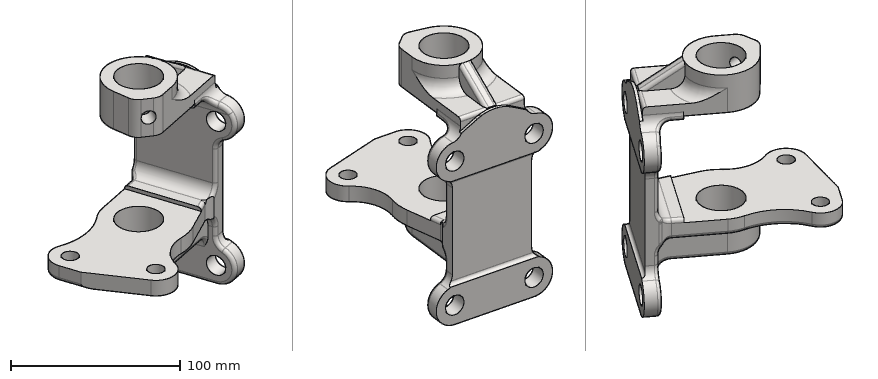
import cadquery as cq
import math

plate_depth = 10.6
lug_x = 28.5
lug_r = 13.3
lug_low_z = lug_r
lug_high_z = 112.4
lug_hole_d = 13.1
lug_blend_r = 7.8
pad_depth = 2.0
recess_depth = 2.5
recess_fillet = 2.3

edge_r = 2.5
cove_r = 8.3
ledge_depth = 26.6
root_y = -4.7
bore_y = -52.7
bore_d = 29.6
boss_r = 22.93

top_z = 156.5
arm_top_z = 139.0
boss_bottom_z = 130.5
upper_ledge_z = 127.5
arm_back_r = 2.3
boss_cove_r = 8.6
nose_angle = math.radians(-100.3)
flat_angle = math.radians(-47.0)
flat_reach = 26.5
nose_corner_r = 8.5
screw_hole_d = 9.0
screw_hole_z = 143.5
rib_width = 9.0
rib_back_y = -3.0

lower_ledge_z = 61.0
plate_top_z = 58.4
plate_bottom_z = 47.5
lower_boss_z = 32.1
left_flank_r = 24.9
right_flank_r = 33.3
right_root = (25.8, -plate_depth - cove_r)
tab_r = 13.1
left_tab = (-13.6, -110.0)
right_tab = (37.9, -97.8)
tab_hole_d = 10.8
left_waist_r = 42.3
right_waist_r = 26.6
front_corner_x = 1.3

bore_axis = (0, bore_y)
crown_r = arm_top_z - lug_high_z
front_y = left_tab[1] - tab_r
beyond = 93.9
overlap = 1.5


def polar(center, radius, angle):
    """Point on a circle, at an angle in radians."""
    return (center[0] + radius * math.cos(angle), center[1] + radius * math.sin(angle))


def heading(start, target):
    return math.atan2(target[1] - start[1], target[0] - start[0])


def tangent_angle(center, radius, point, side):
    """Angle on a circle where the tangent from an outside point touches it."""
    return heading(center, point) + side * math.acos(radius / math.dist(center, point))


def waist_arc(center_1, radius_1, center_2, radius_2, waist_r, side):
    """Hollow arc touching two circles from outside, as its start, middle and end points."""
    span = math.dist(center_1, center_2)
    reach_1 = radius_1 + waist_r
    reach_2 = radius_2 + waist_r
    turn = math.acos((reach_1**2 + span**2 - reach_2**2) / (2 * reach_1 * span))
    center = polar(center_1, reach_1, heading(center_1, center_2) + side * turn)
    start = heading(center, center_1)
    sweep = math.remainder(heading(center, center_2) - start, 2 * math.pi)
    return [polar(center, waist_r, start + part * sweep) for part in (0, 0.5, 1)]


def lug_to_wall(lug_z, wall_x, up):
    """Hollow arc from a lug to an upright wall above (up = 1) or below (up = -1) it."""
    center_x = wall_x + lug_blend_r
    rise = math.sqrt((lug_r + lug_blend_r) ** 2 - (center_x - lug_x) ** 2)
    center = (center_x, lug_z + up * rise)
    at_lug = heading(center, (lug_x, lug_z))
    at_wall = -up * math.pi
    return [polar(center, lug_blend_r, a) for a in (at_lug, (at_lug + at_wall) / 2, at_wall)]


def seed(x, y, z):
    """Selects the edge nearest a point; a fillet then follows its tangent chain."""
    return cq.selectors.NearestToPointSelector((x, y, z))


def yz_prism(start):
    return cq.Workplane("YZ").moveTo(*start)


def half_outline(y):
    """Right half of the plate edge, from the bottom centre up to the top of the high lug."""
    low = lug_to_wall(lug_low_z, lug_x, 1)
    high = lug_to_wall(lug_high_z, lug_x, -1)
    return (
        cq.Workplane("XZ", origin=(0, y, 0))
        .lineTo(lug_x, 0)
        .threePointArc((lug_x + lug_r, lug_low_z), low[0])
        .threePointArc(low[1], low[2])
        .lineTo(*high[2])
        .threePointArc(high[1], high[0])
    )


def neck_block(back_y, depth):
    """Plate outline that narrows above the high lugs to the width of the upper arm."""
    neck = lug_to_wall(lug_high_z, boss_r, 1)
    return (
        half_outline(back_y)
        .threePointArc((lug_x + lug_r, lug_high_z), neck[0])
        .threePointArc(neck[1], neck[2])
        .lineTo(boss_r, arm_top_z)
        .lineTo(0, arm_top_z)
        .mirrorY()
        .extrude(depth)
        .clean()
    )


def back_pad():
    """Thin back layer whose top is a rounded crown with slopes tangent to the high lugs."""
    slope = math.asin((crown_r - lug_r) / lug_x)
    normal = math.pi / 2 - slope
    crown = (0, lug_high_z)
    crowned = (
        half_outline(0)
        .threePointArc((lug_x + lug_r, lug_high_z), polar((lug_x, lug_high_z), lug_r, normal))
        .lineTo(*polar(crown, crown_r, normal))
        .threePointArc(polar(crown, crown_r, math.pi / 2 - slope / 2), (0, arm_top_z))
        .mirrorY()
        .extrude(pad_depth)
        .clean()
    )
    return crowned.intersect(neck_block(0, pad_depth))


def plate_with_ledge():
    """Plate that narrows to the upper arm and sweeps forward into the ledge under it."""
    block = neck_block(-pad_depth, ledge_depth - pad_depth)
    space_in_front = (
        yz_prism((-plate_depth, -overlap))
        .lineTo(-plate_depth, upper_ledge_z - cove_r)
        .radiusArc((-plate_depth - cove_r, upper_ledge_z), -cove_r)
        .lineTo(-beyond, upper_ledge_z)
        .lineTo(-beyond, -overlap)
        .close()
        .extrude(beyond, both=True)
    )
    rounded_back = block.edges(seed(0, -pad_depth, arm_top_z)).fillet(arm_back_r)
    return rounded_back.cut(space_in_front)


def back_recess():
    low = lug_low_z + lug_r
    high = lug_high_z - lug_r
    box = cq.Workplane("XY").box(beyond, 2 * recess_depth, high - low)
    return box.edges("|X").fillet(recess_fillet).translate((0, 0, (low + high) / 2))


def close_underside(section, bottom):
    """Finishes an arm section: along its underside, then down a cove into the plate."""
    return (
        section.lineTo(-plate_depth - cove_r, bottom)
        .radiusArc((-plate_depth, bottom - cove_r), cove_r)
        .lineTo(root_y, bottom - cove_r)
        .close()
        .extrude(beyond, both=True)
    )


def flare_start(wall_x):
    """Point on the plate side where the flare at the root of an arm side begins."""
    sideways = cove_r - (lug_x - wall_x)
    return (lug_x, -plate_depth - cove_r + math.sqrt(cove_r**2 - sideways**2))


def lower_arm_plan():
    left_waist = waist_arc(bore_axis, left_flank_r, left_tab, tab_r, left_waist_r, -1)
    right_waist = waist_arc(bore_axis, right_flank_r, right_tab, tab_r, right_waist_r, 1)
    flank_start = tangent_angle(bore_axis, right_flank_r, right_root, -1)
    front_corner = (front_corner_x, front_y)
    slant_start = tangent_angle(right_tab, tab_r, front_corner, 1)
    left_flank_middle = (heading(bore_axis, left_waist[0]) - math.pi) / 2
    left_root_x, left_root_y = flare_start(left_flank_r)
    return (
        cq.Workplane("XY")
        .moveTo(-lug_x, root_y)
        .lineTo(lug_x, root_y)
        .lineTo(*flare_start(right_root[0]))
        .radiusArc(right_root, -cove_r)
        .lineTo(*polar(bore_axis, right_flank_r, flank_start))
        .threePointArc((right_flank_r, bore_y), right_waist[0])
        .threePointArc(right_waist[1], right_waist[2])
        .threePointArc((right_tab[0] + tab_r, right_tab[1]), polar(right_tab, tab_r, slant_start))
        .lineTo(*front_corner)
        .lineTo(left_tab[0], front_y)
        .threePointArc((left_tab[0] - tab_r, left_tab[1]), left_waist[2])
        .threePointArc(left_waist[1], left_waist[0])
        .threePointArc(polar(bore_axis, left_flank_r, left_flank_middle), (-left_flank_r, bore_y))
        .lineTo(-left_flank_r, -plate_depth - cove_r)
        .radiusArc((-left_root_x, left_root_y), -cove_r)
        .close()
    )


def lower_arm():
    upper_side = (
        yz_prism((root_y, lower_ledge_z + cove_r))
        .lineTo(-plate_depth, lower_ledge_z + cove_r)
        .radiusArc((-plate_depth - cove_r, lower_ledge_z), cove_r)
        .lineTo(-ledge_depth, lower_ledge_z)
        .lineTo(-ledge_depth, plate_top_z)
        .lineTo(front_y - overlap, plate_top_z)
        .lineTo(front_y - overlap, plate_bottom_z)
    )
    return close_underside(upper_side, plate_bottom_z).intersect(lower_arm_plan().extrude(top_z))


def lower_boss():
    """Round-ended block under the lower arm, reaching back to the plate."""
    plan = (
        cq.Workplane("XY")
        .moveTo(boss_r, root_y)
        .lineTo(boss_r, bore_y)
        .threePointArc((0, bore_y - boss_r), (-boss_r, bore_y))
        .lineTo(-boss_r, root_y)
        .close()
        .extrude(top_z)
    )
    upper_side = (
        yz_prism((root_y, plate_bottom_z + overlap))
        .lineTo(-beyond, plate_bottom_z + overlap)
        .lineTo(-beyond, lower_boss_z)
    )
    block = close_underside(upper_side, lower_boss_z).intersect(plan)
    return block.edges(seed(0, bore_y - boss_r, lower_boss_z)).fillet(edge_r)


def arm_block(back_y, bottom, top):
    """Box as wide as the boss, from the bore axis back towards the plate."""
    box = cq.Workplane("XY").box(
        2 * boss_r, back_y - bore_y, top - bottom, centered=(True, False, False)
    )
    return box.translate((0, bore_y, bottom))


def upper_arm():
    return arm_block(-ledge_depth + overlap, boss_bottom_z, arm_top_z)


def clamp_boss():
    """Boss with a nose: two flats at set angles about the bore axis, rounded where they meet."""
    swing = flat_angle - nose_angle
    nose = polar(bore_axis, boss_r, nose_angle)
    along = (flat_reach - boss_r * math.cos(swing)) / math.sin(swing)
    tip = polar(nose, along, nose_angle + math.pi / 2)
    side_y = bore_y + (flat_reach - boss_r * math.cos(flat_angle)) / math.sin(flat_angle)
    return (
        cq.Workplane("XY", origin=(0, 0, boss_bottom_z))
        .moveTo(boss_r, bore_y)
        .threePointArc((0, bore_y + boss_r), (-boss_r, bore_y))
        .threePointArc(polar(bore_axis, boss_r, (nose_angle - math.pi) / 2), nose)
        .lineTo(*tip)
        .lineTo(boss_r, side_y)
        .close()
        .extrude(top_z - boss_bottom_z)
        .edges(cq.selectors.BoxSelector((tip[0] - overlap, -beyond, 0), (beyond, bore_y - overlap, top_z)))
        .edges("|Z")
        .fillet(nose_corner_r)
    )


def boss_cove():
    """Hollow ring between the boss and the arm top, only over the arm behind the bore axis."""
    ring = (
        cq.Workplane("XZ", origin=(0, bore_y, 0))
        .moveTo(boss_r - overlap, arm_top_z - overlap)
        .lineTo(boss_r + boss_cove_r, arm_top_z - overlap)
        .lineTo(boss_r + boss_cove_r, arm_top_z)
        .radiusArc((boss_r, arm_top_z + boss_cove_r), boss_cove_r)
        .lineTo(boss_r - overlap, arm_top_z + boss_cove_r)
        .close()
        .revolve(360, (0, 0), (0, 1))
    )
    return ring.intersect(arm_block(0, 0, top_z))


def rib():
    """Sloping rib from the plate up to the top of the boss, rounded along both edges."""
    boss_back_y = bore_y + boss_r
    wedge = (
        yz_prism((rib_back_y, boss_bottom_z))
        .lineTo(rib_back_y, arm_top_z)
        .lineTo(boss_back_y, top_z)
        .lineTo(boss_back_y - overlap, top_z)
        .lineTo(boss_back_y - overlap, boss_bottom_z)
        .close()
        .extrude(rib_width / 2, both=True)
    )
    slope_y = (rib_back_y + boss_back_y) / 2
    slope_z = (arm_top_z + top_z) / 2
    for side in (-1, 1):
        wedge = wedge.edges(seed(side * rib_width / 2, slope_y, slope_z)).fillet(edge_r)
    return wedge


def upright_hole(center, diameter, height):
    return cq.Workplane("XY").center(*center).circle(diameter / 2).extrude(height)


def screw_hole():
    """Cross hole from the bore out through the slanted flat."""
    out = cq.Vector(math.cos(flat_angle), math.sin(flat_angle), 0)
    plane = cq.Plane(origin=(0, bore_y, screw_hole_z), xDir=(0, 0, 1), normal=out)
    return cq.Workplane(plane).circle(screw_hole_d / 2).extrude(2 * boss_r)


def lug_holes():
    centers = [(side * lug_x, z) for side in (-1, 1) for z in (lug_low_z, lug_high_z)]
    return cq.Workplane("XZ").pushPoints(centers).circle(lug_hole_d / 2).extrude(plate_depth + overlap)


def rounded_frame():
    """Plate and lower arm as one body, with the outer edges rounded."""
    frame = back_pad().union(plate_with_ledge()).union(lower_arm())
    waist_z = (lower_ledge_z + lug_high_z) / 2
    ledge_middle_y = (right_root[1] - ledge_depth) / 2
    edges = [
        (right_root[0], ledge_middle_y, lower_ledge_z),
        (0, -plate_depth, 0),
        (lug_x, -plate_depth, waist_z),
        (-lug_x, -plate_depth, waist_z),
        ((left_tab[0] + front_corner_x) / 2, front_y, plate_bottom_z),
    ]
    for edge in edges:
        frame = frame.edges(seed(*edge)).fillet(edge_r)
    return frame


result = rounded_frame()
for solid in (lower_boss(), upper_arm(), clamp_boss(), boss_cove(), rib()):
    result = result.union(solid)
for hollow in (back_recess(), lug_holes(), screw_hole(), upright_hole(bore_axis, bore_d, top_z)):
    result = result.cut(hollow)
for tab in (left_tab, right_tab):
    result = result.cut(upright_hole(tab, tab_hole_d, plate_top_z))